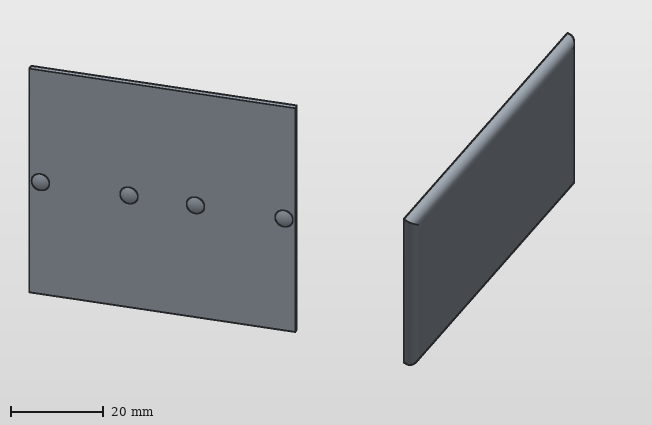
import cadquery as cq

width = 60.0
height = 55.0
total_depth = 3.25
dome_height = 0.4
thickness = total_depth - dome_height

straight_rim = 0.85
rim_radius = thickness - straight_rim

strip_width = 4.0
dome_radius = strip_width / 2
dome_spacing = 20.0
outer_dome_inset = 2.5
strip_centre_x = width / 2 - outer_dome_inset - dome_spacing / 2
strip_depth = straight_rim

front_y = 0.0


def make_plate():
    """Rectangular plate with all four back edges rounded."""
    plate = cq.Workplane("XY").box(width, thickness, height)
    plate = plate.translate((0, front_y + thickness / 2, 0))
    return plate.faces(">Y").edges().fillet(rim_radius)


def make_strip(centre_x):
    """Round-ended strip that fills its pocket flush with the front face."""
    return (
        cq.Workplane("XZ", origin=(centre_x, front_y, 0))
        .slot2D(dome_spacing + strip_width, strip_width)
        .extrude(-strip_depth)
    )


def make_dome(centre_x):
    """Shallow spherical cap on the front face, the tip of a sphere centred behind that face."""
    sphere_radius = (dome_radius**2 + dome_height**2) / (2 * dome_height)
    sphere_centre_y = front_y - dome_height + sphere_radius
    sphere = cq.Workplane("XY").sphere(sphere_radius).translate((centre_x, sphere_centre_y, 0))
    core = (
        cq.Workplane("XZ", origin=(centre_x, front_y - dome_height, 0))
        .circle(dome_radius)
        .extrude(-(dome_height + strip_depth))
    )
    return core.intersect(sphere)


result = make_plate()
for side in (-1, 1):
    strip_x = side * strip_centre_x
    result = result.union(make_strip(strip_x), clean=False)
    for end in (-1, 1):
        result = result.union(make_dome(strip_x + end * dome_spacing / 2), clean=False)